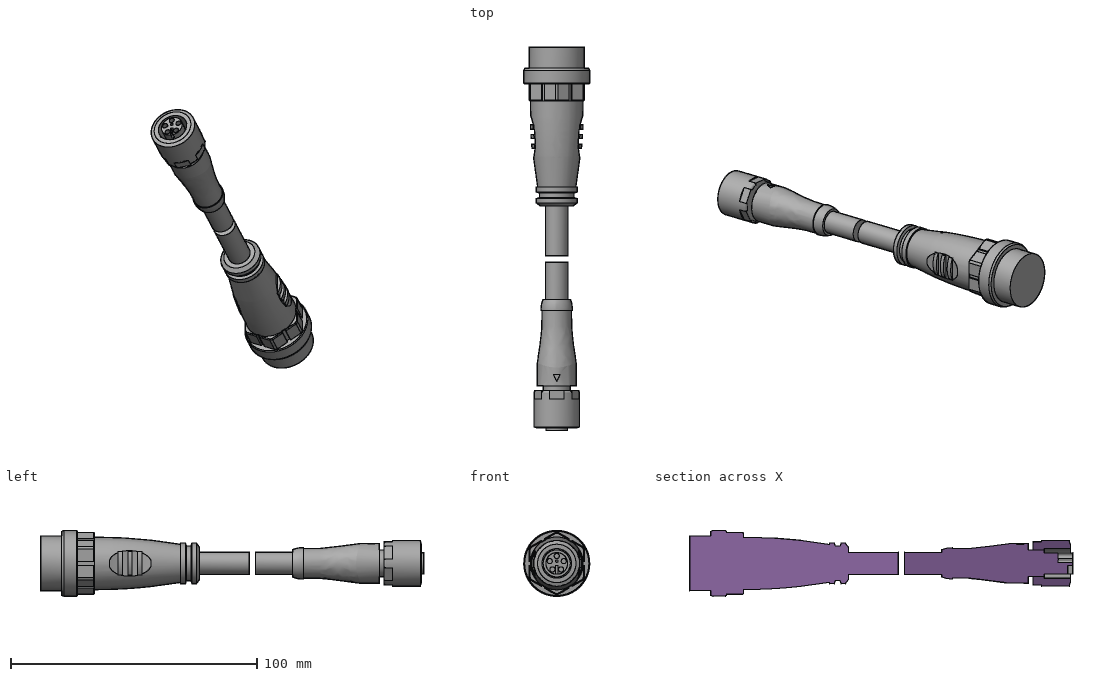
import cadquery as cq
import math

total_length = 155.57

nose_radius = 11.2
nose_end = 8.5
ring_radius = 26.84 / 2
ring_end = 15.0
ring_front_chamfer = 0.45
ring_front_chamfer_length = 0.9
ring_rear_chamfer = 0.4
hex_end = 21.9
hex_sides = 6
hex_across_flats = 2 * nose_radius
hex_corner_radius = 12.6
hex_chamfer = 0.4
hex_groove_width = 1.5
hex_groove_depth = 0.8
shell_start_radius = 10.72
shell_mid_station = 42.0
shell_mid_radius = 9.75
shell_end_radius = 7.8

collar_radius = 8.35
collar_groove_radius = 7.1
first_collar_start = 56.7
first_collar_end = 58.8
second_collar_start = 61.4
second_collar_end = 63.2
plug_end = 64.5
plug_end_radius = 6.6
groove_wall_slope = 0.4

grip_start = (28.0, 10.55)
grip_deepest = (36.3, 8.8)
grip_end = (44.8, 9.4)
grip_rib_spans = [(31.4, 33.3), (35.4, 37.1), (39.3, 41.1)]
grip_rib_width = 9.6
grip_rib_rise = 0.25
grip_rib_root = 0.5

cable_radius = 4.6
cable_cut_start = 84.7
cable_cut_end = 87.2

handle_start = 102.3
handle_start_radius = 5.6
bead_crown = 104.6
bead_crown_radius = 6.3
bead_radius = 6.4
bead_end = 106.8
handle_waist_radius = 6.05
flare_start = 116.0
flare_start_radius = 6.35
flare_middle = 123.2
flare_middle_radius = 7.25
flare_end = 131.5
flare_end_radius = 8.3
handle_end = 137.5
handle_width = 15.85
handle_height = 16.3
mark_start = 132.8
mark_end = 135.6
mark_half_width = 1.4
mark_depth = 0.3

nut_start = 139.3
nut_end = 154.6
nut_radius = 9.3
nut_bore_radius = 6.0
nut_web_end = 144.0
nut_front_chamfer = 0.5
nut_face_radius = 7.8
nut_rear_round = 0.9
nut_rear_round_length = 1.3
nut_flat_count = 6
nut_flat_distance = 8.8
nut_flat_length = 3.5

neck_radius = 5.5
insert_radius = 4.4
contact_count = 5
contact_circle_radius = 3.0
contact_hole_radius = 1.05
contact_hole_depth = 6.0
pilot_hole_radius = 0.5
pilot_hole_offset = 0.95
slot_width = 1.0
slot_inner_radius = 0.9
slot_depth = 2.0


def point(station, radius):
    """Profile point in the YZ plane."""
    return (-station, radius)


def side_point(station, distance):
    """Point in the XY plane at a sideways distance from the axis."""
    return (distance, -station)


def revolve(profile):
    """Solid of revolution about Y from a closed half profile."""
    return profile.close().revolve(360, (0, 0, 0), (1, 0, 0))


def rod(start, end, radius):
    """Round bar between two stations."""
    return revolve(
        cq.Workplane("YZ")
        .moveTo(*point(start, 0))
        .lineTo(*point(start, radius))
        .lineTo(*point(end, radius))
        .lineTo(*point(end, 0))
    )


def section(station):
    """Work plane across the axis, its local x along +X, local y along +Z, extruding to -Y."""
    return cq.Workplane("XZ", origin=(0, -station, 0))


def make_shell(rise=0.0):
    """Tapered grip shell of the plug, optionally grown outwards by a small rise."""
    return revolve(
        cq.Workplane("YZ")
        .moveTo(*point(hex_end, 0))
        .lineTo(*point(hex_end, shell_start_radius + rise))
        .threePointArc(
            point(shell_mid_station, shell_mid_radius + rise),
            point(first_collar_start, shell_end_radius + rise),
        )
        .lineTo(*point(first_collar_start, 0))
    )


def make_finger_grips():
    """Concave scoops to remove from both sides of the shell, interrupted by three ribs."""
    outside = ring_radius
    scoops = (
        cq.Workplane("XY")
        .moveTo(*side_point(*grip_start))
        .threePointArc(side_point(*grip_deepest), side_point(*grip_end))
        .lineTo(*side_point(grip_end[0], outside))
        .lineTo(*side_point(grip_start[0], outside))
        .close()
        .extrude(shell_start_radius, both=True)
    )
    return scoops.union(scoops.mirror("YZ"))


def make_grip_ribs():
    """Slightly raised ribs across the scoops."""
    raised_shell = make_shell(grip_rib_rise)
    core_width = 2 * (grip_deepest[1] - grip_rib_root)
    ribs = cq.Workplane("XY")
    for start, end in grip_rib_spans:
        slab = section(start).rect(2 * ring_radius, grip_rib_width).extrude(end - start)
        core = section(start).rect(core_width, grip_rib_width).extrude(end - start)
        ribs = ribs.add(slab.cut(core))
    return ribs.combine().intersect(raised_shell)


def make_hex_grip():
    """Hexagon with a corner up, corners turned round, and a groove along the middle of each flat."""
    length = hex_end - ring_end
    corner_diameter = hex_across_flats / math.cos(math.pi / hex_sides)
    corner_up = section(ring_end).transformed(rotate=(0, 0, 180 / hex_sides))
    grip = corner_up.polygon(hex_sides, corner_diameter).extrude(length)
    grip = grip.intersect(rod(ring_end, hex_end, hex_corner_radius))
    grip = grip.faces("<Y").chamfer(hex_chamfer)
    grooves = (
        section(ring_end)
        .polarArray(hex_across_flats / 2, 0, 360, hex_sides)
        .rect(2 * hex_groove_depth, hex_groove_width)
        .extrude(length)
    )
    return grip.cut(grooves)


def make_plug():
    nose_and_ring = revolve(
        cq.Workplane("YZ")
        .moveTo(*point(0, 0))
        .lineTo(*point(0, nose_radius))
        .lineTo(*point(nose_end, nose_radius))
        .lineTo(*point(nose_end, ring_radius - ring_front_chamfer))
        .lineTo(*point(nose_end + ring_front_chamfer_length, ring_radius))
        .lineTo(*point(ring_end - ring_rear_chamfer, ring_radius))
        .lineTo(*point(ring_end, ring_radius - ring_rear_chamfer))
        .lineTo(*point(ring_end, 0))
    )
    strain_relief = revolve(
        cq.Workplane("YZ")
        .moveTo(*point(first_collar_start, 0))
        .lineTo(*point(first_collar_start, collar_radius))
        .lineTo(*point(first_collar_end, collar_radius))
        .lineTo(*point(first_collar_end + groove_wall_slope, collar_groove_radius))
        .lineTo(*point(second_collar_start - groove_wall_slope, collar_groove_radius))
        .lineTo(*point(second_collar_start, collar_radius))
        .lineTo(*point(second_collar_end, collar_radius))
        .lineTo(*point(plug_end, plug_end_radius))
        .lineTo(*point(plug_end, 0))
    )
    shell = make_shell().cut(make_finger_grips()).union(make_grip_ribs())
    cable = rod(plug_end, cable_cut_start, cable_radius)
    return nose_and_ring.union(make_hex_grip()).union(shell).union(strain_relief).union(cable)


def make_handle():
    """Flared socket handle; the flare runs out into an oval sleeve."""
    bead = revolve(
        cq.Workplane("YZ")
        .moveTo(*point(handle_start, 0))
        .lineTo(*point(handle_start, handle_start_radius))
        .threePointArc(point(bead_crown, bead_crown_radius), point(bead_end, bead_radius))
        .lineTo(*point(bead_end, 0))
    )
    flare = revolve(
        cq.Workplane("YZ")
        .moveTo(*point(bead_end, 0))
        .lineTo(*point(bead_end, handle_waist_radius))
        .spline(
            [
                point(flare_start, flare_start_radius),
                point(flare_middle, flare_middle_radius),
                point(flare_end, flare_end_radius),
            ],
            includeCurrent=True,
        )
        .lineTo(*point(handle_end, flare_end_radius))
        .lineTo(*point(handle_end, 0))
    )
    sleeve = section(bead_end).ellipse(handle_width / 2, handle_height / 2).extrude(handle_end - bead_end)
    arrow_mark = (
        cq.Workplane("XY", origin=(0, 0, handle_height / 2 - mark_depth))
        .moveTo(-mark_half_width, -mark_start)
        .lineTo(mark_half_width, -mark_start)
        .lineTo(0, -mark_end)
        .close()
        .extrude(handle_height)
    )
    return bead.union(flare.intersect(sleeve)).cut(arrow_mark)


def make_insert():
    """Neck through the nut and the contact insert with its sockets and keying slot."""
    neck = rod(handle_end, nut_web_end, neck_radius)
    insert = rod(nut_web_end, total_length, insert_radius)
    sockets = (
        section(total_length - contact_hole_depth)
        .polarArray(contact_circle_radius, 90, 360, contact_count)
        .circle(contact_hole_radius)
        .extrude(contact_hole_depth)
    )
    pilot_hole = (
        section(total_length - contact_hole_depth)
        .center(0, pilot_hole_offset)
        .circle(pilot_hole_radius)
        .extrude(contact_hole_depth)
    )
    slot_length = insert_radius - slot_inner_radius
    slot = (
        section(total_length - slot_depth)
        .center(0, -(slot_inner_radius + slot_length / 2))
        .rect(slot_width, slot_length)
        .extrude(slot_depth)
    )
    return neck.union(insert.cut(sockets).cut(pilot_hole).cut(slot))


def make_socket():
    cable = rod(cable_cut_end, handle_start, cable_radius)
    return cable.union(make_handle()).union(make_insert())


def make_coupling_nut():
    round_middle = 1 - math.sqrt(0.5)
    nut = revolve(
        cq.Workplane("YZ")
        .moveTo(*point(nut_start, neck_radius))
        .lineTo(*point(nut_start, nut_radius - nut_rear_round))
        .threePointArc(
            point(
                nut_start + nut_rear_round_length * round_middle,
                nut_radius - nut_rear_round * round_middle,
            ),
            point(nut_start + nut_rear_round_length, nut_radius),
        )
        .lineTo(*point(nut_end - nut_front_chamfer, nut_radius))
        .lineTo(*point(nut_end, nut_face_radius))
        .lineTo(*point(nut_end, nut_bore_radius))
        .lineTo(*point(nut_web_end, nut_bore_radius))
        .lineTo(*point(nut_web_end, neck_radius))
    )
    flat_width = 2 * math.sqrt(nut_radius**2 - nut_flat_distance**2)
    pad_inner = (neck_radius + nut_flat_distance) / 2
    pad_height = nut_flat_distance - pad_inner
    for index in range(nut_flat_count):
        angle = 90 + index * 360 / nut_flat_count
        plane = section(nut_start).transformed(rotate=(0, 0, angle))
        relief = (
            plane.moveTo(nut_flat_distance + pad_height / 2, 0)
            .rect(pad_height, flat_width)
            .extrude(nut_flat_length)
        )
        pad = (
            plane.moveTo(nut_flat_distance - pad_height / 2, 0)
            .rect(pad_height, flat_width)
            .extrude(nut_flat_length)
        )
        nut = nut.cut(relief).union(pad)
    return nut


plug = make_plug().solids()
socket = make_socket().solids()
coupling_nut = make_coupling_nut().solids()

result = cq.Compound.makeCompound([plug.val(), socket.val(), coupling_nut.val()])